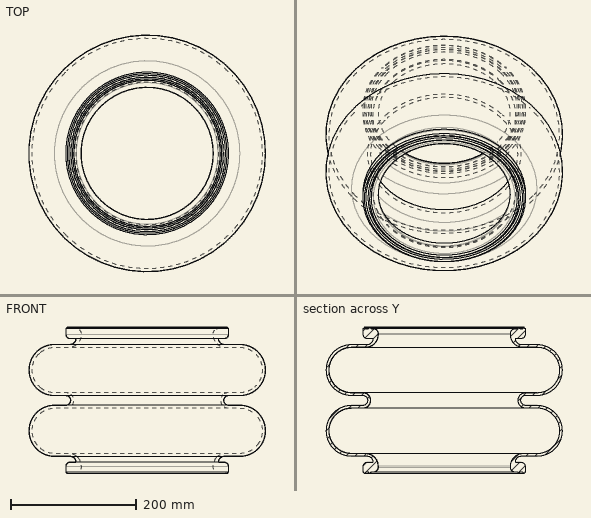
import cadquery as cq


HEIGHT = 234.0
OUTER_RADIUS = 189.0
WALL = 5.0

LOBE_RADIUS = 41.0
LOBE_CENTER_RADIUS = OUTER_RADIUS - LOBE_RADIUS
WAIST_RADIUS = 7.5
WAIST_CENTER_RADIUS = 130.0
LOBE_CENTER_Z = WAIST_RADIUS + LOBE_RADIUS
LOBE_TOP_Z = LOBE_CENTER_Z + LOBE_RADIUS

INNER_LOBE_RADIUS = LOBE_RADIUS - WALL
INNER_WAIST_RADIUS = WAIST_RADIUS + WALL
INNER_LOBE_TOP_Z = LOBE_TOP_Z - WALL

FLANGE_RADIUS = 260.0 / 2
FLANGE_FILLET = 7.0
NECK_RADIUS = 228.0 / 2
NECK_FILLET = 9.0
NECK_CENTER_RADIUS = NECK_RADIUS + NECK_FILLET
FLANGE_BOTTOM_Z = LOBE_TOP_Z + NECK_FILLET

TOP_Z = HEIGHT / 2
RIDGE_HEIGHT = 2.5
RIDGE_HALF_WIDTH = 2.5
FACE_Z = TOP_Z - RIDGE_HEIGHT
OUTER_RIDGE_PEAK_RADIUS = FLANGE_RADIUS - RIDGE_HALF_WIDTH
INNER_RIDGE_PEAK_RADIUS = 119.1

BORE_RADIUS = 105.3
BORE_BOTTOM_Z = 105.0
BEAD_RADIUS = 7.8
BEAD_CENTER_RADIUS = BORE_RADIUS + BEAD_RADIUS
BEAD_CENTER_Z = FACE_Z - BEAD_RADIUS
INNER_NECK_RADIUS = BORE_BOTTOM_Z - INNER_LOBE_TOP_Z
INNER_NECK_CENTER_RADIUS = BORE_RADIUS + INNER_NECK_RADIUS

JOIN_TOLERANCE = 1e-6
DIAGONAL = 0.5 ** 0.5

OUT = (1, 0)
IN = (-1, 0)
UP = (0, 1)
DOWN = (0, -1)
OUT_DOWN = (DIAGONAL, -DIAGONAL)
IN_UP = (-DIAGONAL, DIAGONAL)
IN_DOWN = (-DIAGONAL, -DIAGONAL)


def section_point(radius, z):
    """Point of the section plane (y = 0)."""
    return cq.Vector(radius, 0, z)


def arc(center_radius, center_z, radius, start, middle, end):
    """Circular edge that runs through three directions seen from its centre."""
    points = [
        section_point(center_radius + radius * radial, center_z + radius * axial)
        for radial, axial in (start, middle, end)
    ]
    return cq.Edge.makeThreePointArc(*points)


def joined(edges):
    """The edges in order, with a straight edge across every gap between neighbours."""
    chain = [edges[0]]
    for edge in edges[1:]:
        gap_start = chain[-1].endPoint()
        if (edge.startPoint() - gap_start).Length > JOIN_TOLERANCE:
            chain.append(cq.Edge.makeLine(gap_start, edge.startPoint()))
        chain.append(edge)
    return chain


def outer_edges():
    """Rounds of the outer surface, from the lobe up to the flange rim."""
    lobe = arc(LOBE_CENTER_RADIUS, LOBE_CENTER_Z, LOBE_RADIUS, DOWN, OUT, UP)
    neck = arc(NECK_CENTER_RADIUS, FLANGE_BOTTOM_Z, NECK_FILLET, DOWN, IN_DOWN, IN)
    flange_edge = arc(
        FLANGE_RADIUS - FLANGE_FILLET, FLANGE_BOTTOM_Z + FLANGE_FILLET, FLANGE_FILLET, DOWN, OUT_DOWN, OUT
    )
    return [lobe, neck, flange_edge]


def ridge_edges(peak_radius):
    """Two slopes of a sealing ridge, from its outer foot over the peak to its inner foot."""
    peak = section_point(peak_radius, TOP_Z)
    outer_slope = cq.Edge.makeLine(section_point(peak_radius + RIDGE_HALF_WIDTH, FACE_Z), peak)
    inner_slope = cq.Edge.makeLine(peak, section_point(peak_radius - RIDGE_HALF_WIDTH, FACE_Z))
    return [outer_slope, inner_slope]


def end_face_edges():
    """Both sealing ridges; the outer one rises straight from the flange rim."""
    return ridge_edges(OUTER_RIDGE_PEAK_RADIUS) + ridge_edges(INNER_RIDGE_PEAK_RADIUS)


def inner_edges():
    """Rounds of the inner surface, from the bead down to the lobe."""
    bead = arc(BEAD_CENTER_RADIUS, BEAD_CENTER_Z, BEAD_RADIUS, UP, IN_UP, IN)
    neck = arc(INNER_NECK_CENTER_RADIUS, BORE_BOTTOM_Z, INNER_NECK_RADIUS, IN, IN_DOWN, DOWN)
    lobe = arc(LOBE_CENTER_RADIUS, LOBE_CENTER_Z, INNER_LOBE_RADIUS, UP, OUT, DOWN)
    return [bead, neck, lobe]


def waist_edges(radius):
    """Half-round of the waist with the straight edges that lead to both lobes."""
    waist = arc(WAIST_CENTER_RADIUS, 0, radius, DOWN, IN, UP)
    upper_lead = cq.Edge.makeLine(waist.endPoint(), section_point(LOBE_CENTER_RADIUS, radius))
    return [waist, upper_lead, upper_lead.mirror("XY")]


def wall_section():
    """Closed outline of the wall on one side of the axis."""
    upper = joined(outer_edges() + end_face_edges() + inner_edges())
    lower = [edge.mirror("XY") for edge in upper]
    waist = waist_edges(WAIST_RADIUS) + waist_edges(INNER_WAIST_RADIUS)
    return cq.Wire.combine(upper + lower + waist)[0]


bellows = cq.Solid.revolve(wall_section(), [], 360, cq.Vector(0, 0, 0), cq.Vector(0, 0, 1))
result = cq.Workplane(obj=bellows)